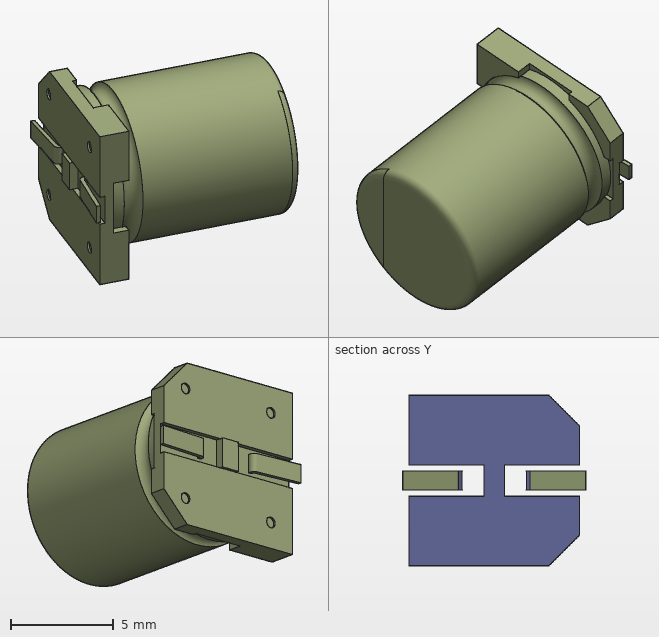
import cadquery as cq


base_width = 8.3
base_bottom = 0.29
corner_chamfer = 1.5
floor_y = base_bottom + 0.72
low_wall_y = base_bottom + 0.93
tall_wall_y = base_bottom + 1.51
wall_gap = 2.8

channel_width = 1.5
channel_depth = 0.27
spacer_length = 1.02
spacer_bottom = 0.12
dimple_diameter = 0.54
dimple_depth = 0.1
dimple_x = 2.75
dimple_z = 2.82

can_radius = 4.0
can_top = 10.8
top_fillet = 0.4
neck_radius = 3.63
neck_y = 2.12
neck_half_length = 0.49

mark_edge_x = 2.0

lead_inner_x = 1.54
lead_tip_x = 4.45
lead_width = 0.94
lead_thickness = 0.2
lead_rise = 0.19
bend_inner_radius = 0.05
bend_outer_radius = bend_inner_radius + lead_thickness

channel_roof = base_bottom + channel_depth


def block(x_min, x_max, y_min, y_max, z_width):
    """Box between X and Y limits, centred on Z = 0."""
    return (
        cq.Workplane("XY")
        .box(x_max - x_min, y_max - y_min, z_width, centered=(False, False, True))
        .translate((x_min, y_min, 0))
    )


def cylinder_y(radius, y_min, y_max):
    """Cylinder along Y on the can axis."""
    return (
        cq.Workplane("XZ", origin=(0, y_min, 0))
        .circle(radius)
        .extrude(y_min - y_max)
    )


def make_base():
    half = base_width / 2
    gap_half = wall_gap / 2

    base = block(-half, half, base_bottom, low_wall_y, base_width)
    base = base.union(block(gap_half, half, base_bottom, tall_wall_y, base_width))
    base = base.edges("|Y and <X").chamfer(corner_chamfer)

    base = base.cut(cylinder_y(can_radius, floor_y, tall_wall_y))
    base = base.cut(block(-gap_half, gap_half, floor_y, tall_wall_y, base_width))
    base = base.cut(block(-half, half, floor_y, tall_wall_y, wall_gap))

    base = base.cut(block(-half, half, base_bottom, channel_roof, channel_width))
    base = base.union(
        block(-spacer_length / 2, spacer_length / 2, spacer_bottom, channel_roof, channel_width)
    )

    dimples = (
        cq.Workplane("XZ", origin=(0, base_bottom, 0))
        .rect(2 * dimple_x, 2 * dimple_z, forConstruction=True)
        .vertices()
        .circle(dimple_diameter / 2)
        .extrude(-dimple_depth)
    )
    return base.cut(dimples)


def make_full_can():
    """Can with a rolled neck and a rounded end, including the marked segment."""
    profile = (
        cq.Workplane("XY")
        .moveTo(0, floor_y)
        .lineTo(can_radius, floor_y)
        .lineTo(can_radius, neck_y - neck_half_length)
        .threePointArc((neck_radius, neck_y), (can_radius, neck_y + neck_half_length))
        .lineTo(can_radius, can_top)
        .lineTo(0, can_top)
        .close()
    )
    can = profile.revolve(360, (0, 0, 0), (0, 1, 0))
    return can.faces(">Y").edges().fillet(top_fillet)


def make_lead(side):
    """Bent lead under the channel roof; side is +1 for +X and -1 for -X."""
    outer_x = side * lead_inner_x
    inner_x = side * (lead_inner_x + lead_thickness)
    tip_x = side * lead_tip_x
    inner_y = lead_rise + lead_thickness
    lead = (
        cq.Workplane("XY", origin=(0, 0, -lead_width / 2))
        .polyline([
            (outer_x, channel_roof),
            (outer_x, lead_rise),
            (tip_x, 0),
            (tip_x, lead_thickness),
            (inner_x, inner_y),
            (inner_x, channel_roof),
        ])
        .close()
        .extrude(lead_width)
    )

    outer_corner = cq.selectors.NearestToPointSelector((outer_x, lead_rise, 0))
    lead = lead.edges("|Z").edges(outer_corner).fillet(bend_outer_radius)
    inner_corner = cq.selectors.NearestToPointSelector((inner_x, inner_y, 0))
    return lead.edges("|Z").edges(inner_corner).fillet(bend_inner_radius)


base = make_base()

full_can = make_full_can()
mark_region = block(mark_edge_x, can_radius, can_top - top_fillet, can_top, 2 * can_radius)
polarity_mark = full_can.intersect(mark_region)
can = full_can.cut(mark_region)

leads = [make_lead(side) for side in (-1, 1)]

result = cq.Compound.makeCompound([
    base.solids().val(),
    can.solids().val(),
    polarity_mark.solids().val(),
    *[lead.solids().val() for lead in leads],
])